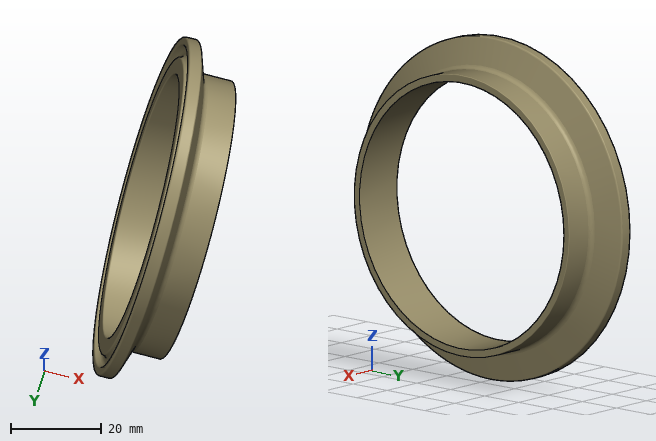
import cadquery as cq
import math

length = 12.7
flange_radius = 77.4 / 2
tube_radius = 63.5 / 2
bore_radius = 60.2 / 2
rim_width = 2.9
taper_angle = 20
neck_x = rim_width + (flange_radius - tube_radius) * math.tan(math.radians(taper_angle))

rim_round = 0.5
neck_round = 1.2
bore_round = 0.3
tube_end_round = 0.15

groove_center_radius = 35.4
groove_depth = 1.55
groove_floor_radius = 1.2
groove_lip_round = 0.5
groove_outer_wall_angle = 64
groove_inner_wall_angle = 72

match_tolerance = 0.01


def revolve_about_x(section):
    """Turn a closed section in the XY plane into a ring about the X axis."""
    return section.revolve(360, (0, 0, 0), (1, 0, 0))


def flange_and_tube():
    """Flange with its tapered back and the tube, still with sharp edges."""
    section = (
        cq.Workplane("XY")
        .moveTo(0, bore_radius)
        .lineTo(0, flange_radius)
        .lineTo(rim_width, flange_radius)
        .lineTo(neck_x, tube_radius)
        .lineTo(length, tube_radius)
        .lineTo(length, bore_radius)
        .close()
    )
    return revolve_about_x(section)


def groove_flank(wall_angle):
    """Points of one groove side, as (depth, distance from the groove middle).

    They run from the mouth to the floor: mouth edge, middle of the lip round,
    end of the lip round, and the place where the wall meets the floor arc.
    """
    wall = math.radians(wall_angle)
    lip_depth = groove_lip_round * (1 - math.cos(wall))
    lip_mid_depth = groove_lip_round * (1 - math.cos(wall / 2))
    wall_depth = groove_depth - groove_floor_radius * (1 - math.cos(wall))

    wall_offset = groove_floor_radius * math.sin(wall)
    lip_offset = wall_offset + (wall_depth - lip_depth) / math.tan(wall)
    mouth_offset = lip_offset + groove_lip_round * math.sin(wall)
    lip_mid_offset = mouth_offset - groove_lip_round * math.sin(wall / 2)

    return [
        (0, mouth_offset),
        (lip_mid_depth, lip_mid_offset),
        (lip_depth, lip_offset),
        (wall_depth, wall_offset),
    ]


def gasket_groove():
    """Ring that cuts the groove, its arcs and walls tangent to one another."""
    outer = [(x, groove_center_radius + offset) for x, offset in groove_flank(groove_outer_wall_angle)]
    inner = [(x, groove_center_radius - offset) for x, offset in groove_flank(groove_inner_wall_angle)]
    outer_mouth, outer_lip_mid, outer_lip_end, outer_floor_end = outer
    inner_mouth, inner_lip_mid, inner_lip_end, inner_floor_end = inner

    section = (
        cq.Workplane("XY")
        .moveTo(*inner_mouth)
        .threePointArc(inner_lip_mid, inner_lip_end)
        .lineTo(*inner_floor_end)
        .threePointArc((groove_depth, groove_center_radius), outer_floor_end)
        .lineTo(*outer_lip_end)
        .threePointArc(outer_lip_mid, outer_mouth)
        .close()
    )
    return revolve_about_x(section)


def round_edge(body, x, radius, round_radius):
    """Round the circular edge that has the given radius at position x."""

    def is_wanted(edge):
        same_place = abs(edge.Center().x - x) < match_tolerance
        return same_place and abs(edge.radius() - radius) < match_tolerance

    return body.edges("%CIRCLE").filter(is_wanted).fillet(round_radius)


ferrule = flange_and_tube()
ferrule = round_edge(ferrule, 0, flange_radius, rim_round)
ferrule = round_edge(ferrule, rim_width, flange_radius, rim_round)
ferrule = round_edge(ferrule, neck_x, tube_radius, neck_round)
ferrule = round_edge(ferrule, length, tube_radius, tube_end_round)
ferrule = round_edge(ferrule, 0, bore_radius, bore_round)

result = ferrule.cut(gasket_groove())